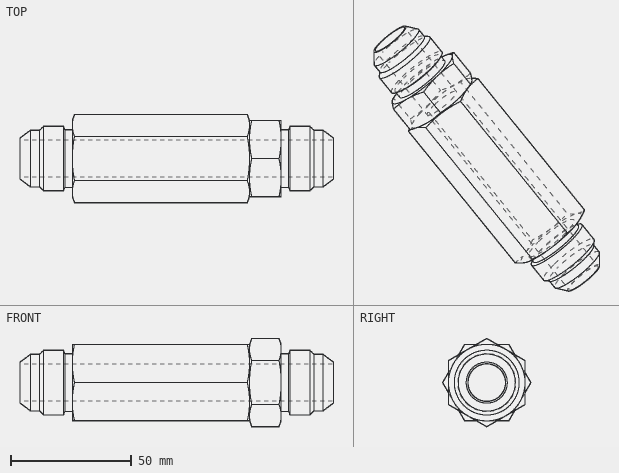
import cadquery as cq
import math

total_length = 130.2
bore_diameter = 15.5
hex_corners = 36.7
hex_flats = hex_corners * math.cos(math.radians(30))
hex_chamfer = 0.9
nut_length = 13.2

tip_diameter = 17.0
nose_diameter = 23.7
thread_diameter = 27.0
neck_diameter = 24.1
cone_end = 4.4
thread_lead_start = 8.2
thread_start = 9.9
thread_end = 18.1
neck_start = 18.6
end_length = 21.7

left_tip = -total_length / 2
housing_start = left_tip + end_length
nut_end = total_length / 2 - end_length
joint = nut_end - nut_length


def tube_end(tip_x, inward):
    """Revolved cone, nose, thread and neck; inward is +1 or -1 along X."""
    profile = [
        (0, 0),
        (0, tip_diameter / 2),
        (cone_end, nose_diameter / 2),
        (thread_lead_start, nose_diameter / 2),
        (thread_start, thread_diameter / 2),
        (thread_end, thread_diameter / 2),
        (neck_start, neck_diameter / 2),
        (end_length, neck_diameter / 2),
        (end_length, 0),
    ]
    points = [(tip_x + inward * distance, radius) for distance, radius in profile]
    return cq.Workplane("XY").polyline(points).close().revolve(360, (0, 0, 0), (1, 0, 0))


def chamfered_hexagon(start, end, turn):
    """Hexagonal bar along X with conically bevelled corners at both ends."""
    hexagon = (
        cq.Workplane("YZ", origin=(start, 0, 0))
        .polygon(6, hex_corners)
        .extrude(end - start)
        .rotate((0, 0, 0), (1, 0, 0), turn)
    )
    envelope = (
        cq.Workplane("XY")
        .polyline([
            (start, 0),
            (start, hex_flats / 2),
            (start + hex_chamfer, hex_corners / 2),
            (end - hex_chamfer, hex_corners / 2),
            (end, hex_flats / 2),
            (end, 0),
        ])
        .close()
        .revolve(360, (0, 0, 0), (1, 0, 0))
    )
    return hexagon.intersect(envelope)


def bored(body):
    """Cut the through bore along X."""
    bore = (
        cq.Workplane("YZ", origin=(left_tip, 0, 0))
        .circle(bore_diameter / 2)
        .extrude(total_length)
    )
    return body.cut(bore)


housing = bored(chamfered_hexagon(housing_start, joint, 0).union(tube_end(left_tip, 1)))

end_fitting = bored(chamfered_hexagon(joint, nut_end, 90).union(tube_end(total_length / 2, -1)))

result = cq.Compound.makeCompound([housing.val(), end_fitting.val()])